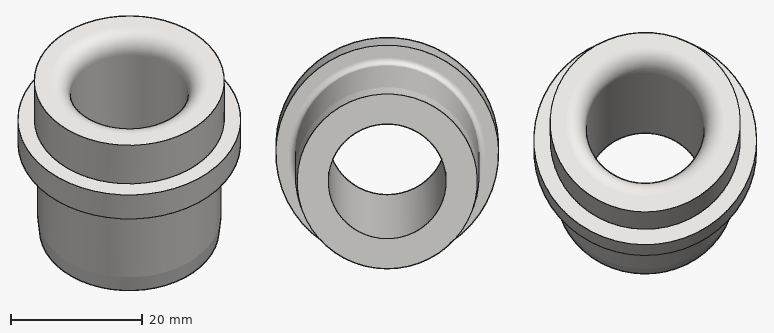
import cadquery as cq

flange_diameter = 34.0
total_height = 31.0

collar_diameter = 29.0
flange_thickness = 5.0
body_diameter = 28.0
body_length = 17.98
root_fillet = 1.0
lead_in_height = 3.0
lead_in_diameter = 27.45

bore_diameter = 17.98
mouth_radius = 3.0

flange_radius = flange_diameter / 2
collar_radius = collar_diameter / 2
body_radius = body_diameter / 2
lead_in_radius = lead_in_diameter / 2
bore_radius = bore_diameter / 2
flange_top = body_length + flange_thickness

half_section = (
    cq.Workplane("XZ")
    .moveTo(bore_radius, 0)
    .lineTo(lead_in_radius, 0)
    .lineTo(body_radius, lead_in_height)
    .lineTo(body_radius, body_length - root_fillet)
    .radiusArc((body_radius + root_fillet, body_length), root_fillet)
    .lineTo(flange_radius, body_length)
    .lineTo(flange_radius, flange_top)
    .lineTo(collar_radius, flange_top)
    .lineTo(collar_radius, total_height)
    .lineTo(bore_radius + mouth_radius, total_height)
    .radiusArc((bore_radius, total_height - mouth_radius), -mouth_radius)
    .close()
)

result = half_section.revolve(360, (0, 0, 0), (0, 1, 0))